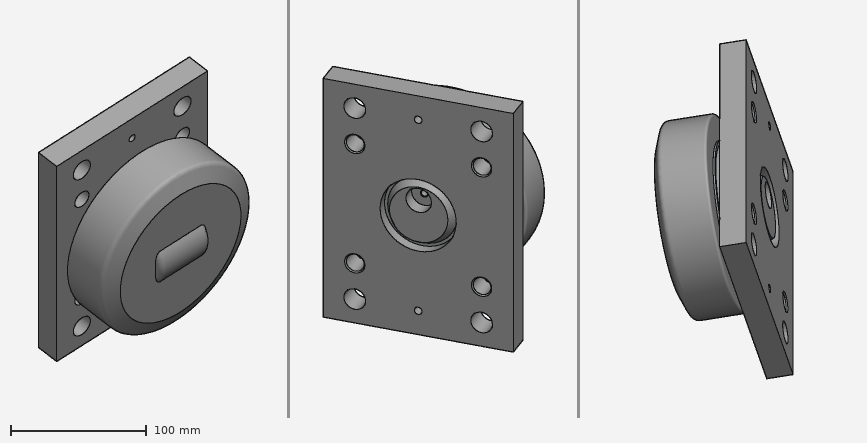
import cadquery as cq
import math

plate_thickness = 20.0
plate_width = 150.0
plate_height = 200.0

mount_hole_diameter = 17.0
mount_hole_spacing_y = 100.0
mount_hole_spacing_z = 160.0

threaded_hole_diameter = 14.0
threaded_hole_countersink_diameter = 16.0
threaded_hole_countersink_angle = 90.0
threaded_hole_spacing = 100.0

pin_hole_diameter = 6.0
pin_hole_spacing = 160.0

neck_diameter = 103.0
shoulder_diameter = 108.5
shoulder_x = 28.5
roller_diameter = 149.0
roller_back_x = 30.0
roller_front_x = 73.0
roller_front_diameter = 120.0
roller_back_radius = 2.0
roller_cone_length = 6.0
roller_rim_radius = 4.0

side_roller_radius = 25.0
side_roller_length = 50.0
side_roller_edge_radius = 5.0
overall_depth = 78.5

journal_bore_diameter = 60.0
journal_diameter = 55.0
journal_face_diameter = 46.0
journal_face_x = 1.0
journal_taper_length = 8.0
screw_bore_diameter = 20.0
screw_bore_z = 12.0
screw_bore_depth = 11.5
grease_countersink_diameter = 6.0
grease_hole_diameter = 5.0
grease_hole_depth = 10.0
drill_point_angle = 118.0


def cylinder_along_x(diameter, start_x, end_x, z=0.0):
    return cq.Workplane("YZ", origin=(start_x, 0, z)).circle(diameter / 2).extrude(end_x - start_x)


def cone_along_x(start_diameter, end_diameter, start_x, end_x, z=0.0):
    cone = cq.Solid.makeCone(
        start_diameter / 2,
        end_diameter / 2,
        end_x - start_x,
        pnt=cq.Vector(start_x, 0, z),
        dir=cq.Vector(1, 0, 0),
    )
    return cq.Workplane(cone)


def hole_centres(plate, spacing_y, spacing_z):
    """Selects the corners of a rectangle of holes centred on the back face."""
    back_face = plate.faces("<X").workplane(origin=(0, 0, 0))
    return back_face.rect(spacing_y, spacing_z, forConstruction=True).vertices()


def make_plate():
    plate = cq.Workplane("YZ").rect(plate_width, plate_height).extrude(plate_thickness)
    plate = hole_centres(plate, mount_hole_spacing_y, mount_hole_spacing_z).hole(mount_hole_diameter)
    plate = hole_centres(plate, threaded_hole_spacing, threaded_hole_spacing).cskHole(
        threaded_hole_diameter,
        threaded_hole_countersink_diameter,
        threaded_hole_countersink_angle,
    )
    back_face = plate.faces("<X").workplane(origin=(0, 0, 0))
    return back_face.rarray(1, pin_hole_spacing, 1, 2).hole(pin_hole_diameter)


def make_bearing():
    neck = cylinder_along_x(neck_diameter, plate_thickness, shoulder_x)
    shoulder = cylinder_along_x(shoulder_diameter, shoulder_x, roller_back_x)
    rim_x = roller_front_x - roller_cone_length
    disc = cylinder_along_x(roller_diameter, roller_back_x, rim_x)
    cone = cone_along_x(roller_diameter, roller_front_diameter, rim_x, roller_front_x)
    roller = disc.union(cone)
    roller = roller.faces("<X").edges().fillet(roller_back_radius)
    roller = roller.faces("%CYLINDER").edges(">X").fillet(roller_rim_radius)
    return neck.union(shoulder).union(roller)


def make_side_roller():
    axis_x = overall_depth - side_roller_radius
    return (
        cq.Workplane("XZ", origin=(axis_x, 0, 0))
        .circle(side_roller_radius)
        .extrude(side_roller_length / 2, both=True)
        .faces("<Y or >Y")
        .edges()
        .fillet(side_roller_edge_radius)
    )


def make_journal_groove():
    groove_floor_x = journal_face_x + journal_taper_length
    bore = cylinder_along_x(journal_bore_diameter, 0, groove_floor_x)
    journal_end = cone_along_x(journal_face_diameter, journal_diameter, journal_face_x, groove_floor_x)
    return bore.cut(journal_end)


def make_screw_bore():
    bore_floor_x = journal_face_x + screw_bore_depth
    bore = cylinder_along_x(screw_bore_diameter, 0, bore_floor_x, z=screw_bore_z)
    grease_countersink_depth = (grease_countersink_diameter - grease_hole_diameter) / 2
    hole_start_x = bore_floor_x + grease_countersink_depth
    hole_end_x = hole_start_x + grease_hole_depth
    point_depth = grease_hole_diameter / 2 / math.tan(math.radians(drill_point_angle / 2))
    countersink = cone_along_x(
        grease_countersink_diameter, grease_hole_diameter, bore_floor_x, hole_start_x, screw_bore_z
    )
    hole = cylinder_along_x(grease_hole_diameter, hole_start_x, hole_end_x, z=screw_bore_z)
    point = cone_along_x(grease_hole_diameter, 0, hole_end_x, hole_end_x + point_depth, screw_bore_z)
    return bore.union(countersink).union(hole).union(point)


result = (
    make_plate()
    .union(make_bearing())
    .union(make_side_roller())
    .cut(make_journal_groove())
    .cut(make_screw_bore())
)